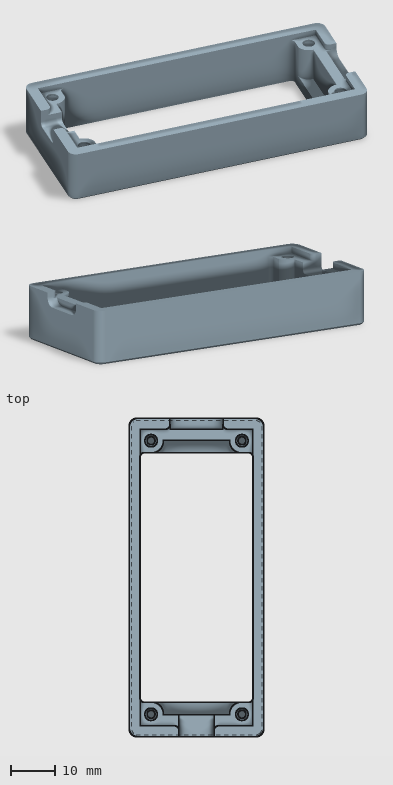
import cadquery as cq

LENGTH = 71.8
WIDTH = 30.4
HEIGHT = 12.5
WALL = 2.5
CORNER_RADIUS = 1.95
BASE_CHAMFER = 0.5

RECESS_DEPTH = 1.5
OPENING_INSET = 7.8
OPENING_CORNER_RADIUS = 0.85
BASE_LIP_HEIGHT = 3.0
POCKET_INSET = 5.0

SCREW_INSET_X = 4.95
SCREW_INSET_Y = 5.1
BOSS_RADIUS = 2.8
HOLE_MOUTH_DIAMETER = 2.8
HOLE_MOUTH_DEPTH = 0.5
CONE_DEPTH = 1.0
PILOT_DIAMETER = 1.8

FRONT_NOTCH_WIDTH = 8.0
FRONT_NOTCH_DEPTH = 4.0
FRONT_NOTCH_RADIUS = 1.0
REAR_NOTCH_WIDTH = 12.0
REAR_NOTCH_DEPTH = 3.1
REAR_NOTCH_RADIUS = 2.0
NOTCH_EDGE_RADIUS = 1.0

INNER_WIDTH = WIDTH - 2 * WALL
INNER_LENGTH = LENGTH - 2 * WALL
LEDGE_Z = HEIGHT - RECESS_DEPTH
OPENING_LENGTH = LENGTH - 2 * OPENING_INSET
SCREW_X = WIDTH / 2 - SCREW_INSET_X
SCREW_Y = LENGTH / 2 - SCREW_INSET_Y


def box(width, length, bottom, top, center_y=0.0):
    """Upright block centred on X, between two heights."""
    return (
        cq.Workplane("XY", origin=(0, center_y, bottom))
        .rect(width, length)
        .extrude(top - bottom)
    )


def frame():
    """Rounded outer block with the lid recess and the through opening."""
    outer = box(WIDTH, LENGTH, 0, HEIGHT).edges("|Z").fillet(CORNER_RADIUS)
    outer = outer.faces("<Z").edges().chamfer(BASE_CHAMFER)
    recess = box(INNER_WIDTH, INNER_LENGTH, LEDGE_Z, HEIGHT)
    opening = box(INNER_WIDTH, OPENING_LENGTH, 0, LEDGE_Z)
    opening = opening.edges("|Z").fillet(OPENING_CORNER_RADIUS)
    return outer.cut(recess).cut(opening)


def end_pocket(end):
    """Space between the bosses at one end, above the base lip."""
    depth = OPENING_INSET - POCKET_INSET
    center_y = end * (LENGTH / 2 - POCKET_INSET - depth / 2)
    pocket = box(2 * SCREW_X, depth, BASE_LIP_HEIGHT, LEDGE_Z, center_y)
    for side in (-1, 1):
        boss = (
            cq.Workplane("XY", origin=(side * SCREW_X, end * SCREW_Y, BASE_LIP_HEIGHT))
            .circle(BOSS_RADIUS)
            .extrude(LEDGE_Z - BASE_LIP_HEIGHT)
        )
        pocket = pocket.cut(boss)
    return pocket


def screw_hole(x, y):
    """Blind hole: short wide mouth, a cone, then a pilot bore down to the base lip."""
    mouth_radius = HOLE_MOUTH_DIAMETER / 2
    pilot_radius = PILOT_DIAMETER / 2
    cone_top = LEDGE_Z - HOLE_MOUTH_DEPTH
    cone_bottom = cone_top - CONE_DEPTH
    return (
        cq.Workplane("XZ")
        .moveTo(0, LEDGE_Z)
        .lineTo(mouth_radius, LEDGE_Z)
        .lineTo(mouth_radius, cone_top)
        .lineTo(pilot_radius, cone_bottom)
        .lineTo(pilot_radius, BASE_LIP_HEIGHT)
        .lineTo(0, BASE_LIP_HEIGHT)
        .close()
        .revolve(360, (0, 0), (0, 1))
        .translate((x, y, 0))
    )


def notch(end, width, depth, bottom_radius, reach):
    """Cable notch cut inwards from one end face, with rounded lower edges."""
    center_y = end * (LENGTH / 2 - reach / 2)
    cutter = box(width, reach, HEIGHT - depth, HEIGHT, center_y)
    return cutter.edges("|Y and <Z").fillet(bottom_radius)


def notch_edge_rounding(end, width):
    """Material removed to round the inner vertical edges of a notch above the ledge."""
    r = NOTCH_EDGE_RADIUS
    wall_y = LENGTH / 2 - WALL
    center_y = end * (wall_y + r / 2)
    rounding = box(width + 2 * r, r, LEDGE_Z, HEIGHT, center_y)
    for side in (-1, 1):
        corner = (
            cq.Workplane("XY", origin=(side * (width / 2 + r), end * (wall_y + r), LEDGE_Z))
            .circle(r)
            .extrude(RECESS_DEPTH)
        )
        rounding = rounding.cut(corner)
    return rounding


result = frame()
for end in (-1, 1):
    result = result.cut(end_pocket(end))
    for side in (-1, 1):
        result = result.cut(screw_hole(side * SCREW_X, end * SCREW_Y))
result = result.cut(
    notch(-1, FRONT_NOTCH_WIDTH, FRONT_NOTCH_DEPTH, FRONT_NOTCH_RADIUS, POCKET_INSET)
)
result = result.cut(notch(1, REAR_NOTCH_WIDTH, REAR_NOTCH_DEPTH, REAR_NOTCH_RADIUS, WALL))
result = result.cut(notch_edge_rounding(-1, FRONT_NOTCH_WIDTH))
result = result.cut(notch_edge_rounding(1, REAR_NOTCH_WIDTH))